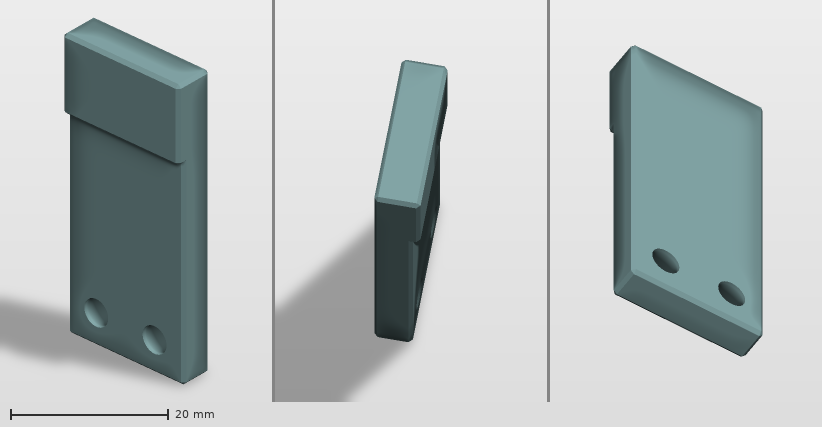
import cadquery as cq

width = 20.0
height = 45.0
plate_thickness = 5.0
pad_thickness = 6.0
pad_height = 12.0
edge_chamfer = 0.5

hole_diameter = 4.1
hole_spacing = 10.0
hole_height = 5.0


def chamfered_block(thickness, block_height, bottom):
    """Block with its back on Y = 0, chamfered on every edge."""
    block = cq.Workplane("XY").box(width, thickness, block_height, centered=(True, False, False))
    return block.edges().chamfer(edge_chamfer).translate((0, -thickness, bottom))


plate = chamfered_block(plate_thickness, height, 0)
pad = chamfered_block(pad_thickness, pad_height, height - pad_height)
body = plate.union(pad)

hole_centers = [(side * hole_spacing / 2, hole_height) for side in (-1, 1)]
holes = (
    cq.Workplane("XZ")
    .pushPoints(hole_centers)
    .circle(hole_diameter / 2)
    .extrude(pad_thickness)
)

result = body.cut(holes)